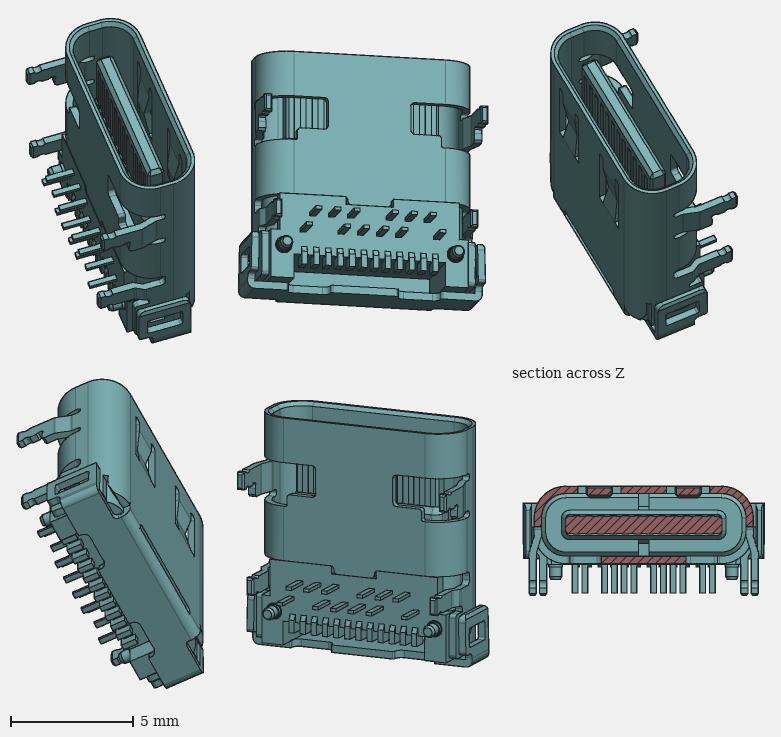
import cadquery as cq
import math


SHELL_LENGTH = 8.96
SHELL_DEPTH = 3.17
SHELL_RADIUS = 1.3
SHEET = 0.31
SHELL_TOP = 9.87
SHELL_FRONT_BOTTOM = 3.87
SHELL_BACK_BOTTOM = 0.69
LIP_CHAMFER_WIDTH = 0.16
LIP_CHAMFER_HEIGHT = 0.16

SHELL_X = SHELL_LENGTH / 2
SHELL_Y = SHELL_DEPTH / 2
CAVITY_X = SHELL_X - SHEET
CAVITY_Y = SHELL_Y - SHEET
CAVITY_RADIUS = SHELL_RADIUS - SHEET
FLAT_X = SHELL_X - SHELL_RADIUS
REACH = 5.92

SIDE_EDGE_Y = -0.06
SIDE_EDGE_RADIUS = 0.19
FLANGE_FRONT_Y = -1.39
FLANGE_BOTTOM = 0.44
FLANGE_RADIUS = 0.15
NOTCH_BOTTOM = 2.32
NOTCH_INNER_Y = -0.77
BUMP_WIDTH = 0.64
BUMP_RISE = 0.1
BUMP_BACK_Y = -0.09
BUMP_BOTTOM = 0.99
BUMP_TOP = 1.92

WINDOW_TOP = 7.99
WINDOW_BOTTOM = 6.16
WINDOW_STEP = 6.66
WINDOW_STEP_X = 3.02
WINDOW_INNER_X = 1.73
SLIT_RADIUS = 0.13
WINDOW_RADIUS = 0.19
WINDOW_LEDGE_RADIUS = 0.08

SPRING_X = 1.82
SPRING_TOP = 8.19
SPRING_BOTTOM = 5.72
SPRING_INSET = 0.18
SPRING_TAPER = 0.16
SPRING_SLOT_WIDTH = 0.34
SPRING_SLOT_OFFSET = 0.71
SPRING_SLOT_TOP = 8.88
SPRING_SLOT_RADIUS = 0.15

OVERALL_DEPTH = 4.46
LEG_END_Y = SHELL_Y - OVERALL_DEPTH
LEG_ROOT_Y = SIDE_EDGE_Y - 0.15
LEG_WIDTH = 0.72
LEG_CORNER = 0.08
LEG_BEND_RADIUS = 0.2
WAIST_Y = -2.43
WAIST_RADIUS = 0.2
WAIST_DEPTH = 0.08
LEG_TIP_LENGTH = 0.09
LEG_TIP_CHAMFER = 0.06
UPPER_LEG_TOP = 7.71
UPPER_LEG_FOOT = 6.44
UPPER_LEG_FOOT_Y = -1.71
UPPER_LEG_SHIFT = 0.21
UPPER_BEND_START_Y = -0.46
UPPER_BEND_END_Y = -1.135
LOWER_LEG_TOP = 3.31
LOWER_LEG_SHIFT = -0.22
LOWER_BEND_START_Y = -0.95
LOWER_BEND_END_Y = -1.3
LOWER_LEG_BOTTOM = LOWER_LEG_TOP - LEG_WIDTH

HOUSING_FRONT_Y = -1.61
HOUSING_TOP = 4.74
HOUSING_CHAMFER = 0.17
HOUSING_SHOULDER = 2.33
HOUSING_UPPER_X = 3.76
HOUSING_LOWER_X = 4.14
TAIL_RECESS_TOP = 1.32
TAB_POCKET_X = 1.0
TAB_BOTTOM = 3.53
KEY_SLOT_WIDTH = 0.42
KEY_SLOT_DEPTH = 0.3
KEY_SLOT_SLOPE = 0.15

BASE_X = 3.37
BASE_Y = 0.6
BASE_TOP = 6.49
BASE_RADIUS = 0.35
BASE_SLOPE_HEIGHT = 0.29
BASE_SLOPE_WIDTH = 0.18
BLADE_X = 3.2
BLADE_Y = 0.36
BLADE_TOP = 9.21
BLADE_SIDE_CHAMFER = 0.1
BLADE_TIP_CHAMFER = 0.17
CONTACT_TOP = 8.69
CONTACT_WIDTH = 0.26
CONTACT_RELIEF = 0.02

TAIL_COUNT = 12
TAIL_ROW_SPAN = 5.5
TAIL_PITCH = TAIL_ROW_SPAN / (TAIL_COUNT - 1)
TAIL_WIDTH = 0.24
TAIL_FRONT_Y = -1.73
TAIL_BACK_Y = -1.09
TAIL_BOTTOM = 0.9
TAIL_SHOULDER = 1.43
TAIL_TOP = 1.66
UPPER_PIN_STEPS = (2, 4, 6)
LOWER_PIN_STEPS = (1, 3, 7)
OUTER_PIN_X = 2.8
PIN_PITCH = OUTER_PIN_X / max(LOWER_PIN_STEPS)
PIN_WIDTH = 0.25
PIN_HEIGHT = 0.14
PIN_END_Y = -2.78
UPPER_PIN_Z = 3.04
LOWER_PIN_Z = 2.34

PEG_X = 3.6
PEG_Z = 1.7
PEG_RADIUS = 0.26
PEG_COLLAR_RADIUS = 0.29
PEG_RECESS_RADIUS = 0.34
PEG_RECESS_DEPTH = 0.05
PEG_COLLAR_Y = -1.72
PEG_END_Y = -2.24
PEG_TIP_LENGTH = 0.14
PEG_TIP_WIDTH = 0.07

BRACKET_X = 4.93
WING_SHEET = 0.31
PLATE_THICKNESS = 0.32
PLATE_FRONT_Y = -0.77
PLATE_NOTCH_START_X = 1.41
PLATE_NOTCH_END_X = 3.21
PLATE_NOTCH_DEPTH = 0.39
PLATE_NOTCH_RADIUS = 0.29
PLATE_NOTCH_MOUTH_RADIUS = 0.07
BEND_RADIUS = 0.29
WING_BACK_Y = 0.89
WING_FRONT_Y = -1.37
WING_TOP = 2.3
WING_LEAN = 0.04
WING_FRONT_BOTTOM = 0.63
WING_CORNER = 0.3
WING_SMALL_CORNER = 0.12
WING_WINDOW_Y = (-1.0, 0.53)
WING_WINDOW_Z = (0.9, 1.71)
STRAP_X = 3.23
STRAP_BEND_RADIUS = 0.41
STRAP_INNER_RADIUS = 0.16
STRAP_CORNER_RADIUS = 0.18
BACK_OPENING_X = 2.26


def box(x_range, y_range, z_range):
    """Axis-aligned block given by its limits along X, Y and Z."""
    sizes = [high - low for low, high in (x_range, y_range, z_range)]
    corner = (x_range[0], y_range[0], z_range[0])
    return cq.Workplane("XY").box(*sizes, centered=False).translate(corner)


def racetrack(half_x, half_y, radius, bottom, top):
    """Rounded-rectangle column between two heights."""
    column = box((-half_x, half_x), (-half_y, half_y), (bottom, top))
    return column.edges("|Z").fillet(radius)


def prism_yz(points, x_start, x_end):
    """Outline of (Y, Z) points extruded from x_start to x_end."""
    return cq.Workplane("YZ", origin=(x_start, 0, 0)).polyline(points).close().extrude(x_end - x_start)


def prism_xz(points, y_start, y_end):
    """Outline of (X, Z) points extruded from y_start to y_end."""
    return cq.Workplane("XZ", origin=(0, y_end, 0)).polyline(points).close().extrude(y_end - y_start)


def both_sides(right_half):
    """Feature on the +X side together with its mirror image."""
    return right_half.union(right_half.mirror("YZ"))



def shell_tube():
    outer = racetrack(SHELL_X, SHELL_Y, SHELL_RADIUS, FLANGE_BOTTOM, SHELL_TOP)
    cavity = racetrack(CAVITY_X, CAVITY_Y, CAVITY_RADIUS, FLANGE_BOTTOM, SHELL_TOP)
    lip_angle = math.degrees(math.atan2(LIP_CHAMFER_WIDTH, LIP_CHAMFER_HEIGHT))
    lip_outline = cq.Sketch().rect(2 * CAVITY_X, 2 * CAVITY_Y).vertices().fillet(CAVITY_RADIUS)
    lip_plane = cq.Workplane("XY", origin=(0, 0, SHELL_TOP - LIP_CHAMFER_HEIGHT))
    lip = lip_plane.placeSketch(lip_outline).extrude(LIP_CHAMFER_HEIGHT, taper=-lip_angle)
    return outer.cut(cavity).cut(lip)


def centre_tab():
    """Tab with S-shaped flanks that hangs from the front edge of the shell."""
    right_flank = [(1.08, SHELL_FRONT_BOTTOM), (0.96, 3.82), (0.91, 3.7), (0.86, 3.58), (0.74, TAB_BOTTOM)]
    start, upper_mid, middle, lower_mid, end = right_flank
    outline = (
        cq.Workplane("XZ", origin=(0, -CAVITY_Y, 0))
        .moveTo(0, SHELL_FRONT_BOTTOM)
        .lineTo(*start)
        .threePointArc(upper_mid, middle)
        .threePointArc(lower_mid, end)
        .lineTo(0, TAB_BOTTOM)
        .close()
    )
    return both_sides(outline.extrude(SHEET))


def lower_front_opening():
    """Clears the front half of the shell below its front edge, except for the centre tab."""
    upper = box((-REACH, REACH), (-REACH, SIDE_EDGE_Y), (LOWER_LEG_TOP, SHELL_FRONT_BOTTOM))
    upper = upper.edges("|X and >Y").fillet(SIDE_EDGE_RADIUS)
    lower = box((-REACH, REACH), (-REACH, SIDE_EDGE_Y), (0, LOWER_LEG_TOP))
    return upper.union(lower).cut(centre_tab())


def leg_window():
    """Stepped opening around the +X front corner, with a round-ended slit above and below the leg."""
    heights = (WINDOW_BOTTOM, WINDOW_TOP)
    front_depth = (-REACH, -CAVITY_Y / 2)
    corner = box((FLAT_X, REACH), (-REACH, SIDE_EDGE_Y - 0.2), heights)
    for slit_heights in ((WINDOW_BOTTOM, UPPER_LEG_FOOT), (UPPER_LEG_TOP, WINDOW_TOP)):
        slit = box((FLAT_X, REACH), (-REACH, SIDE_EDGE_Y), slit_heights)
        corner = corner.union(slit.edges("|X and >Y").fillet(SLIT_RADIUS))
    ledge = box((WINDOW_STEP_X, SHELL_X), front_depth, heights)
    ledge = ledge.edges("|Y and <X and <Z").fillet(WINDOW_LEDGE_RADIUS)
    front = box((WINDOW_INNER_X, SHELL_X), front_depth, (WINDOW_STEP, WINDOW_TOP))
    front = front.edges("|Y and <X").fillet(WINDOW_RADIUS)
    front = front.union(ledge)
    step_corner = cq.selectors.BoxSelector((WINDOW_STEP_X - 0.05, -REACH, WINDOW_STEP - 0.05),
                                           (WINDOW_STEP_X + 0.05, 0, WINDOW_STEP + 0.05))
    return corner.union(front.edges("|Y").edges(step_corner).fillet(SLIT_RADIUS))


def back_corner_slot():
    """Slot that separates the side wall from the back wall near the base."""
    outline = [(WING_BACK_Y, 0), (WING_BACK_Y, 1.95), (1.08, 1.95), (1.08, 1.18), (1.24, 0.74), (1.24, 0)]
    return prism_yz(outline, FLAT_X + SHEET, REACH)


def spring_opening(x_centre):
    """Two slots with rounded tops, and the space between them swept by the spring."""
    slots = cq.Workplane("XY")
    for offset in (-SPRING_SLOT_OFFSET, SPRING_SLOT_OFFSET):
        x = x_centre + offset
        slot = box((x - SPRING_SLOT_WIDTH / 2, x + SPRING_SLOT_WIDTH / 2), (0, REACH),
                   (SPRING_BOTTOM, SPRING_SLOT_TOP))
        slots = slots.union(slot.edges("|Y and >Z").fillet(SPRING_SLOT_RADIUS))
    between = box((x_centre - SPRING_SLOT_OFFSET, x_centre + SPRING_SLOT_OFFSET), (0, REACH),
                  (SPRING_BOTTOM, SPRING_TOP))
    return slots.union(between)


def spring(x_centre):
    """Strip bent inward between the two slots, narrower where it reaches furthest in."""
    middle = (SPRING_TOP + SPRING_BOTTOM) / 2
    half_width = SPRING_SLOT_OFFSET - SPRING_SLOT_WIDTH / 2
    half_waist = half_width - SPRING_TAPER
    bend = prism_yz(
        [(CAVITY_Y, SPRING_TOP), (CAVITY_Y - SPRING_INSET, middle), (CAVITY_Y, SPRING_BOTTOM),
         (SHELL_Y, SPRING_BOTTOM), (SHELL_Y - SPRING_INSET, middle), (SHELL_Y, SPRING_TOP)],
        x_centre - half_width, x_centre + half_width,
    )
    waist = prism_xz(
        [(x_centre - half_width, SPRING_TOP), (x_centre + half_width, SPRING_TOP),
         (x_centre + half_waist, middle), (x_centre + half_width, SPRING_BOTTOM),
         (x_centre - half_width, SPRING_BOTTOM), (x_centre - half_waist, middle)],
        0, SHELL_Y,
    )
    return bend.intersect(waist)


def leg_sheet(shift, bend_start, bend_end):
    """Tall sheet running toward -Y, moved sideways by shift between two bends, with a bevelled end."""
    inner = CAVITY_X
    outer = SHELL_X
    bevel_y = LEG_END_Y + LEG_TIP_LENGTH
    plan = [
        (inner, LEG_ROOT_Y), (inner, bend_start), (inner + shift, bend_end), (inner + shift, bevel_y),
        (inner + shift + LEG_TIP_CHAMFER, LEG_END_Y), (outer + shift - LEG_TIP_CHAMFER, LEG_END_Y),
        (outer + shift, bevel_y), (outer + shift, bend_end), (outer, bend_start), (outer, LEG_ROOT_Y),
    ]
    sheet = cq.Workplane("XY").polyline(plan).close().extrude(SHELL_TOP)
    bends = cq.selectors.BoxSelector((0, bend_end - 0.1, 0), (REACH, bend_start + 0.1, SHELL_TOP))
    return sheet.edges("|Z").edges(bends).fillet(LEG_BEND_RADIUS)


def leg_tip(top):
    """End of a leg with clipped corners as (Y, Z) points, from its top edge to its bottom edge."""
    bottom = top - LEG_WIDTH
    corner_y = LEG_END_Y + LEG_CORNER
    upper_corner = [(corner_y, top), (LEG_END_Y, top - LEG_CORNER)]
    lower_corner = [(LEG_END_Y, bottom + LEG_CORNER), (corner_y, bottom)]
    return upper_corner + lower_corner


def waist(top):
    """Two cylinders that pinch a leg from above and below."""
    offset = WAIST_RADIUS - WAIST_DEPTH
    centres = [(WAIST_Y, top + offset), (WAIST_Y, top - LEG_WIDTH - offset)]
    return cq.Workplane("YZ").pushPoints(centres).circle(WAIST_RADIUS).extrude(REACH)


def upper_leg():
    bottom = UPPER_LEG_TOP - LEG_WIDTH
    arch = bottom + 0.08
    foot = [(-1.97, bottom), (-1.88, arch), (-1.73, arch), (-1.66, bottom), (UPPER_LEG_FOOT_Y, 6.81),
            (UPPER_LEG_FOOT_Y, 6.54), (-1.61, UPPER_LEG_FOOT), (0, UPPER_LEG_FOOT)]
    side = prism_yz([(0, UPPER_LEG_TOP)] + leg_tip(UPPER_LEG_TOP) + foot, 0, REACH)
    sheet = leg_sheet(UPPER_LEG_SHIFT, UPPER_BEND_START_Y, UPPER_BEND_END_Y)
    return sheet.intersect(side).cut(waist(UPPER_LEG_TOP))


def lower_leg():
    side = prism_yz([(0, LOWER_LEG_TOP)] + leg_tip(LOWER_LEG_TOP) + [(0, LOWER_LEG_BOTTOM)], 0, REACH)
    sheet = leg_sheet(LOWER_LEG_SHIFT, LOWER_BEND_START_Y, LOWER_BEND_END_Y)
    return sheet.intersect(side).cut(waist(LOWER_LEG_TOP))


def side_flange():
    """Flat side wall below the lower leg, with a notch under the leg and a locking bump."""
    wall = box((CAVITY_X, SHELL_X), (FLANGE_FRONT_Y, 0.1), (FLANGE_BOTTOM, LOWER_LEG_BOTTOM))
    notch = box((0, REACH), (-REACH, NOTCH_INNER_Y), (NOTCH_BOTTOM, LOWER_LEG_BOTTOM))
    notch = notch.edges("|X and >Y and >Z").fillet(FLANGE_RADIUS)
    upper_wall = box((CAVITY_X, SHELL_X), (NOTCH_INNER_Y, 0.1), (LOWER_LEG_BOTTOM, LOWER_LEG_TOP))
    flange = wall.cut(notch).edges("|X and <Y").fillet(FLANGE_RADIUS)
    bump_x = SHELL_X + BUMP_RISE
    pocket = box((CAVITY_X, REACH), (BUMP_BACK_Y - BUMP_WIDTH, BUMP_BACK_Y), (BUMP_BOTTOM, 1.58))
    flange = flange.cut(pocket)
    bump = (
        cq.Workplane("XZ", origin=(0, BUMP_BACK_Y, 0))
        .moveTo(CAVITY_X, BUMP_TOP)
        .lineTo(SHELL_X, BUMP_TOP)
        .lineTo(bump_x, 1.68)
        .lineTo(bump_x, 1.48)
        .threePointArc((bump_x - 0.08, 1.22), (SHELL_X - 0.2, BUMP_BOTTOM))
        .lineTo(CAVITY_X, BUMP_BOTTOM)
        .close()
        .extrude(BUMP_WIDTH)
    )
    return flange.union(upper_wall).union(bump)


def shell():
    body = shell_tube().cut(lower_front_opening())
    body = body.cut(both_sides(leg_window())).cut(both_sides(back_corner_slot()))
    body = body.cut(box((-REACH, REACH), (WING_BACK_Y, REACH), (0, SHELL_BACK_BOTTOM)))
    for x_centre in (-SPRING_X, SPRING_X):
        body = body.cut(spring_opening(x_centre)).union(spring(x_centre))
    return body.union(both_sides(upper_leg().union(lower_leg()).union(side_flange())))



def key_slot():
    """Groove in the top of the housing from the tongue base to the +Y wall."""
    bottom = HOUSING_TOP - KEY_SLOT_DEPTH
    inner_slope = [(BASE_Y, HOUSING_TOP), (BASE_Y + KEY_SLOT_SLOPE, bottom)]
    outline = inner_slope + [(CAVITY_Y, bottom), (CAVITY_Y, HOUSING_TOP)]
    return prism_yz(outline, -KEY_SLOT_WIDTH / 2, KEY_SLOT_WIDTH / 2)


def housing():
    core = racetrack(CAVITY_X, CAVITY_Y, CAVITY_RADIUS, PLATE_THICKNESS, HOUSING_TOP)
    core = core.faces(">Z").chamfer(HOUSING_CHAMFER)
    upper = box((-HOUSING_UPPER_X, HOUSING_UPPER_X), (HOUSING_FRONT_Y, 0),
                (PLATE_THICKNESS, SHELL_FRONT_BOTTOM))
    lower = box((-HOUSING_LOWER_X, HOUSING_LOWER_X), (HOUSING_FRONT_Y, 0),
                (PLATE_THICKNESS, HOUSING_SHOULDER))
    tab_pocket = box((-TAB_POCKET_X, TAB_POCKET_X), (-REACH, -CAVITY_Y), (TAB_BOTTOM, REACH))
    tail_recess = box((-FLAT_X, FLAT_X), (-REACH, CAVITY_Y), (0, TAIL_RECESS_TOP))
    body = core.union(upper).union(lower)
    return body.cut(tab_pocket).cut(tail_recess).cut(key_slot()).cut(key_slot().mirror("XZ"))


def tail_positions():
    return [(i - (TAIL_COUNT - 1) / 2) * TAIL_PITCH for i in range(TAIL_COUNT)]


def tongue():
    base = racetrack(BASE_X, BASE_Y, BASE_RADIUS, HOUSING_TOP - HOUSING_CHAMFER, BASE_TOP)
    base = base.faces(">Z").chamfer(BASE_SLOPE_HEIGHT, BASE_SLOPE_WIDTH)
    blade = box((-BLADE_X, BLADE_X), (-BLADE_Y, BLADE_Y), (HOUSING_TOP, BLADE_TOP))
    blade = blade.edges("|Z").chamfer(BLADE_SIDE_CHAMFER).faces(">Z").chamfer(BLADE_TIP_CHAMFER)
    body = base.union(blade)
    contact_y = BLADE_Y + CONTACT_RELIEF
    for x in tail_positions():
        contact = box((x - CONTACT_WIDTH / 2, x + CONTACT_WIDTH / 2), (-contact_y, contact_y),
                      (HOUSING_TOP, CONTACT_TOP))
        body = body.union(contact)
    return body


def contact_tails():
    """Row of flat tails at the front of the housing, each with a sloped shoulder."""
    profile = [
        (TAIL_BACK_Y, TAIL_BOTTOM), (TAIL_FRONT_Y, TAIL_BOTTOM), (TAIL_FRONT_Y, TAIL_SHOULDER),
        (HOUSING_FRONT_Y, TAIL_TOP), (TAIL_BACK_Y, TAIL_TOP),
    ]
    tails = cq.Workplane("XY")
    for x in tail_positions():
        tails = tails.union(prism_yz(profile, x - TAIL_WIDTH / 2, x + TAIL_WIDTH / 2))
    return tails


def board_pins():
    """Two staggered rows of pins pointing toward -Y, placed on a common pitch."""
    pins = cq.Workplane("XY")
    for z, steps in ((UPPER_PIN_Z, UPPER_PIN_STEPS), (LOWER_PIN_Z, LOWER_PIN_STEPS)):
        for step in steps:
            x = step * PIN_PITCH
            pin = box((x - PIN_WIDTH / 2, x + PIN_WIDTH / 2), (PIN_END_Y, 0),
                      (z - PIN_HEIGHT / 2, z + PIN_HEIGHT / 2))
            pins = pins.union(both_sides(pin))
    return pins


def peg_cylinder(radius, end_y):
    """Cylinder along the peg axis from the housing interior to end_y."""
    start_y = HOUSING_FRONT_Y + PEG_RECESS_DEPTH
    return cq.Workplane("XZ", origin=(PEG_X, start_y, PEG_Z)).circle(radius).extrude(start_y - end_y)


def locating_peg():
    pin = peg_cylinder(PEG_RADIUS, PEG_END_Y).faces("<Y").chamfer(PEG_TIP_LENGTH, PEG_TIP_WIDTH)
    return pin.union(peg_cylinder(PEG_COLLAR_RADIUS, PEG_COLLAR_Y))



def bracket_plate():
    """Bottom plate with rounded bends toward the wings and two notches in its front edge."""
    wing_inner_x = BRACKET_X - WING_SHEET
    bend_top = PLATE_THICKNESS + 0.1
    plate = box((-BRACKET_X, BRACKET_X), (PLATE_FRONT_Y, WING_BACK_Y), (0, bend_top))
    plate = plate.edges("|Y and <Z").fillet(BEND_RADIUS)
    plate = plate.cut(box((-wing_inner_x, wing_inner_x), (-REACH, REACH), (PLATE_THICKNESS, REACH)))
    notch_back_y = PLATE_FRONT_Y + PLATE_NOTCH_DEPTH
    notch = box((PLATE_NOTCH_START_X, PLATE_NOTCH_END_X), (-REACH, notch_back_y), (-0.1, REACH))
    notch = notch.edges("|Z and >Y").fillet(PLATE_NOTCH_RADIUS)
    plate = plate.cut(both_sides(notch))
    middle = (PLATE_NOTCH_START_X + PLATE_NOTCH_END_X) / 2
    half_span = (PLATE_NOTCH_END_X - PLATE_NOTCH_START_X) / 2 + 0.1
    for x in (-middle, middle):
        mouth = cq.selectors.BoxSelector((x - half_span, PLATE_FRONT_Y - 0.1, -0.1),
                                         (x + half_span, PLATE_FRONT_Y + 0.1, PLATE_THICKNESS + 0.1))
        plate = plate.edges("|Z").edges(mouth).fillet(PLATE_NOTCH_MOUTH_RADIUS)
    return plate


def back_straps():
    """Two bent straps that join the bottom plate to the back wall of the shell."""
    strap_top = SHELL_BACK_BOTTOM + 0.2
    bend = (
        cq.Workplane("YZ", origin=(-STRAP_X, 0, 0))
        .moveTo(0, 0)
        .lineTo(SHELL_Y - STRAP_BEND_RADIUS, 0)
        .tangentArcPoint((SHELL_Y, STRAP_BEND_RADIUS), relative=False)
        .lineTo(SHELL_Y, strap_top)
        .lineTo(CAVITY_Y, strap_top)
        .lineTo(CAVITY_Y, PLATE_THICKNESS + STRAP_INNER_RADIUS)
        .tangentArcPoint((CAVITY_Y - STRAP_INNER_RADIUS, PLATE_THICKNESS), relative=False)
        .lineTo(0, PLATE_THICKNESS)
        .close()
        .extrude(2 * STRAP_X)
    )
    opening = box((-BACK_OPENING_X, BACK_OPENING_X), (CAVITY_Y - STRAP_INNER_RADIUS, REACH),
                  (PLATE_THICKNESS, SHELL_BACK_BOTTOM))
    return bend.cut(opening.edges("|Y and >Z").fillet(STRAP_INNER_RADIUS))


def wing():
    """Upturned +X side of the bracket, leaning slightly inward, with a window for the locking bump."""
    bottom = PLATE_THICKNESS + 0.1
    inner = BRACKET_X - WING_SHEET
    section = prism_xz(
        [(inner, bottom), (BRACKET_X, bottom), (BRACKET_X - WING_LEAN, WING_TOP - 0.16),
         (BRACKET_X - WING_LEAN - 0.08, WING_TOP), (inner - WING_LEAN + 0.06, WING_TOP),
         (inner - WING_LEAN, WING_TOP - 0.08)],
        WING_FRONT_Y, WING_BACK_Y,
    )
    side = (
        cq.Workplane("YZ")
        .moveTo(WING_BACK_Y, bottom)
        .lineTo(PLATE_FRONT_Y, bottom)
        .threePointArc((PLATE_FRONT_Y - 0.06, WING_FRONT_BOTTOM - 0.06), (PLATE_FRONT_Y - 0.2, WING_FRONT_BOTTOM))
        .lineTo(WING_FRONT_Y + WING_SMALL_CORNER, WING_FRONT_BOTTOM)
        .tangentArcPoint((WING_FRONT_Y, WING_FRONT_BOTTOM + WING_SMALL_CORNER), relative=False)
        .lineTo(WING_FRONT_Y, WING_TOP - WING_CORNER)
        .tangentArcPoint((WING_FRONT_Y + WING_CORNER, WING_TOP), relative=False)
        .lineTo(WING_BACK_Y - WING_CORNER, WING_TOP)
        .tangentArcPoint((WING_BACK_Y, WING_TOP - WING_CORNER), relative=False)
        .close()
        .extrude(REACH)
    )
    window = box((0, REACH), WING_WINDOW_Y, WING_WINDOW_Z).edges("|X").fillet(0.1)
    return section.intersect(side).cut(window)


def bracket():
    base = bracket_plate().union(back_straps())
    for x in (-STRAP_X, STRAP_X):
        inside_corner = cq.selectors.BoxSelector((x - 0.1, WING_BACK_Y - 0.1, -0.1),
                                                 (x + 0.1, WING_BACK_Y + 0.1, PLATE_THICKNESS + 0.1))
        base = base.edges("|Z").edges(inside_corner).fillet(STRAP_CORNER_RADIUS)
    return base.union(both_sides(wing()))


peg_recess = both_sides(peg_cylinder(PEG_RECESS_RADIUS, HOUSING_FRONT_Y))

result = (
    shell()
    .union(housing().cut(peg_recess))
    .union(tongue())
    .union(contact_tails())
    .union(board_pins())
    .union(both_sides(locating_peg()))
    .union(bracket())
)